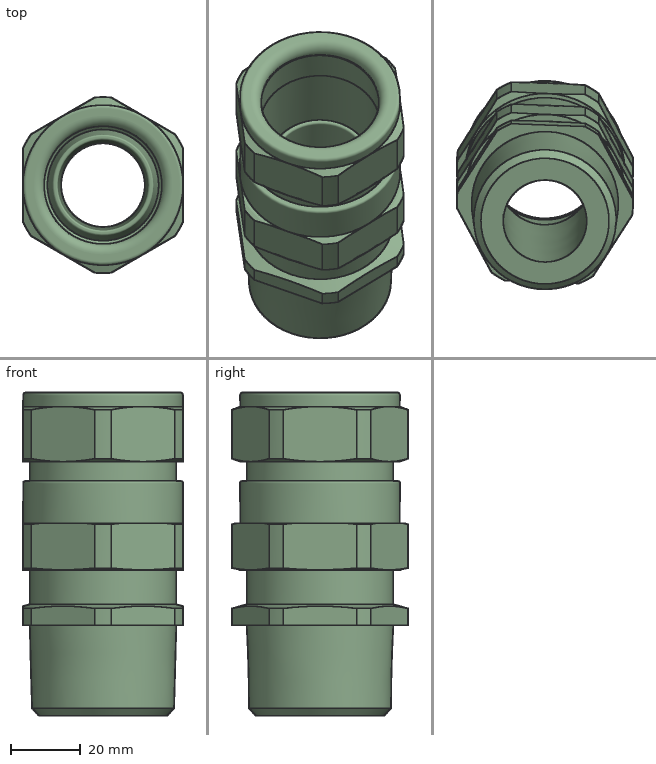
import cadquery as cq

total_height = 92.9
thread_chamfer_top = 2.2
flange_bottom = 26.0
flange_top = 32.05
body_bottom = 41.8
spigot_top = 53.9
seat_top = 55.3
body_hex_top = 55.4
nose_top = 61.3
body_collar_top = 67.4
nut_bottom = 73.0
body_neck_top = 78.9
nut_hex_top = 88.8

across_flats = 46.0
across_corners = 50.6
corner_radius = across_corners / 2

collar_radius = across_flats / 2
neck_radius = 21.1
thread_end_radius = 20.4
thread_chamfer = 2.0

flange_top_bevel = (neck_radius, 1.2)
body_top_bevel = (24.0, 0.4)
body_bottom_bevel = (22.3, 0.65)
nut_top_bevel = (collar_radius, 0.9)
nut_bottom_bevel = (collar_radius, 0.8)

cable_radius = 12.0
flare_radius = 13.0
nose_outer_radius = 14.5
groove_radius = 16.0
wall_radius = 17.2
lip_radius = 16.9
lip_height = 0.7

mouth_round = 3.0
rim_round = 0.9
collar_round = 0.65
nose_round = 0.6


def revolve(outline):
    """Turn a closed (radius, height) sketch on the XZ plane about the Z axis."""
    return outline.close().revolve(360, (0, 0, 0), (0, 1, 0))


def revolve_points(points):
    return revolve(cq.Workplane("XZ").polyline(points))


def cylinder(radius, bottom, top):
    return cq.Workplane("XY").workplane(offset=bottom).circle(radius).extrude(top - bottom)


def hexagon(bottom, top, top_bevel, bottom_bevel=None):
    """Hexagonal prism with two flats facing +X and -X, turned round at its corners.

    Each bevel is (inner radius, height) of the cone that trims the corners at that end;
    without a bottom bevel the lower end stays square.
    """
    prism = (
        cq.Workplane("XY")
        .workplane(offset=bottom)
        .polygon(6, across_flats, circumscribed=True)
        .extrude(top - bottom)
    )
    top_radius, top_drop = top_bevel
    outline = [(0, top), (top_radius, top), (corner_radius, top - top_drop)]
    if bottom_bevel is None:
        outline.append((corner_radius, bottom))
    else:
        bottom_radius, bottom_rise = bottom_bevel
        outline += [(corner_radius, bottom + bottom_rise), (bottom_radius, bottom)]
    envelope = revolve_points(outline + [(0, bottom)])
    return prism.intersect(envelope)


def make_entry():
    """Entry: tapered thread, hexagon flange, neck and a conical nose inside the body."""
    flange = hexagon(flange_bottom, flange_top, flange_top_bevel)
    nose_shoulder = nose_top - nose_round
    turned = revolve(
        cq.Workplane("XZ")
        .moveTo(0, 0)
        .lineTo(thread_end_radius - thread_chamfer, 0)
        .lineTo(thread_end_radius, thread_chamfer_top)
        .lineTo(neck_radius, flange_bottom)
        .lineTo(neck_radius, spigot_top)
        .lineTo(groove_radius, spigot_top)
        .lineTo(nose_outer_radius, nose_shoulder)
        .radiusArc((nose_outer_radius - nose_round, nose_top), -nose_round)
        .lineTo(flare_radius + nose_round, nose_top)
        .radiusArc((flare_radius, nose_shoulder), -nose_round)
        .lineTo(0, nose_shoulder)
    )
    bore = revolve_points([
        (0, 0),
        (cable_radius, 0),
        (flare_radius, nose_shoulder),
        (0, nose_shoulder),
    ])
    return turned.union(flange).cut(bore)


def make_body():
    """Body: hexagon, round collar and neck, bored for the entry below and the cable above."""
    collar = cylinder(collar_radius, body_bottom, body_collar_top).faces(">Z").edges().fillet(collar_round)
    neck = cylinder(neck_radius, body_bottom, body_neck_top)
    hexagon_part = hexagon(body_bottom, body_hex_top, body_top_bevel, body_bottom_bevel)
    bore = revolve_points([
        (0, body_bottom),
        (neck_radius, body_bottom),
        (neck_radius, spigot_top),
        (groove_radius, spigot_top),
        (wall_radius, seat_top),
        (wall_radius, body_neck_top),
        (0, body_neck_top),
    ])
    return hexagon_part.union(collar).union(neck).cut(bore)


def make_nut():
    """Top nut: hexagon with a round rim, a rounded mouth and a recess for the body's neck."""
    rim = cylinder(collar_radius, nut_bottom, total_height).faces(">Z").edges().fillet(rim_round)
    hexagon_part = hexagon(nut_bottom, nut_hex_top, nut_top_bevel, nut_bottom_bevel)
    mouth_bottom = total_height - mouth_round
    lip_bottom = mouth_bottom - lip_height
    bore = revolve(
        cq.Workplane("XZ")
        .moveTo(0, nut_bottom)
        .lineTo(neck_radius, nut_bottom)
        .lineTo(neck_radius, body_neck_top)
        .lineTo(wall_radius, body_neck_top)
        .lineTo(wall_radius, lip_bottom)
        .lineTo(lip_radius, lip_bottom)
        .lineTo(lip_radius, mouth_bottom)
        .radiusArc((lip_radius + mouth_round, total_height), mouth_round)
        .lineTo(0, total_height)
    )
    return hexagon_part.union(rim).cut(bore)


entry = make_entry()
body = make_body()
nut = make_nut()

result = cq.Compound.makeCompound([entry.solids().val(), body.solids().val(), nut.solids().val()])